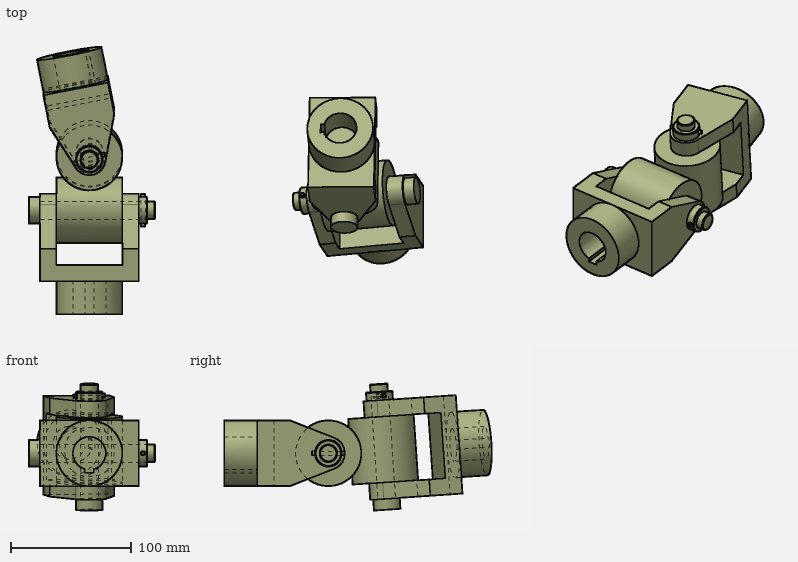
import cadquery as cq
import math


TILT = 3.9
SWING = 11.1
UPPER_PIN_TURN = 17.0

HUB_DIAMETER = 54.8
HUB_LENGTH = HUB_DIAMETER / 2
BORE_DIAMETER = HUB_DIAMETER / 2
BORE_DEPTH = HUB_LENGTH
KEYWAY_WIDTH = 7.5
KEYWAY_REACH = 16.3
WALL = HUB_DIAMETER / 4
FORK_WIDTH = HUB_DIAMETER + 2 * WALL
LUG_RADIUS = HUB_DIAMETER / 4
WEB_DISTANCE = 59.2
SHOULDER_LENGTH = HUB_DIAMETER / 2

BLOCK_DIAMETER = HUB_DIAMETER
BLOCK_LENGTH = HUB_DIAMETER
AXIS_OFFSET = 45.6

PIN_DIAMETER = 14.7
HEAD_DIAMETER = 22.3
HEAD_LENGTH = 9.1
PIN_STICKOUT = 13.5
PIN_CHAMFER = 0.7
COLLAR_DIAMETER = 22.3
COLLAR_LENGTH = 7.1
COLLAR_CHAMFER = 0.7
CROSS_PIN_DIAMETER = 3.5
CROSS_PIN_LENGTH = 27.4
CROSS_PIN_CHAMFER = 0.5

FORK_FACE = FORK_WIDTH / 2
COLLAR_MIDDLE = FORK_FACE + COLLAR_LENGTH / 2


def rod(diameter, start, length):
    """Cylinder on the X axis, running from x = start."""
    return cq.Workplane("YZ").workplane(offset=start).circle(diameter / 2).extrude(length)


def make_fork():
    """Fork with its pin axis on X and its hub towards -Y."""
    half_height = HUB_DIAMETER / 2
    web_y = -WEB_DISTANCE
    shoulder_y = web_y + SHOULDER_LENGTH
    corner_distance = math.hypot(shoulder_y, half_height)
    tangent_angle = math.atan2(half_height, shoulder_y) - math.acos(LUG_RADIUS / corner_distance)
    tangent_y = LUG_RADIUS * math.cos(tangent_angle)
    tangent_z = LUG_RADIUS * math.sin(tangent_angle)
    body = (
        cq.Workplane("YZ")
        .moveTo(web_y, -half_height)
        .lineTo(shoulder_y, -half_height)
        .lineTo(tangent_y, -tangent_z)
        .threePointArc((LUG_RADIUS, 0), (tangent_y, tangent_z))
        .lineTo(shoulder_y, half_height)
        .lineTo(web_y, half_height)
        .close()
        .extrude(FORK_FACE, both=True)
    )
    gap_length = WEB_DISTANCE - WALL + LUG_RADIUS
    gap = (
        cq.Workplane("XY")
        .center(0, LUG_RADIUS - gap_length / 2)
        .rect(BLOCK_LENGTH, gap_length)
        .extrude(HUB_DIAMETER, both=True)
    )
    hub_plane = cq.Workplane("XZ", origin=(0, web_y, 0))
    hub = hub_plane.circle(HUB_DIAMETER / 2).extrude(HUB_LENGTH)
    bore_plane = cq.Workplane("XZ", origin=(0, web_y - HUB_LENGTH, 0))
    bore = bore_plane.circle(BORE_DIAMETER / 2).extrude(-BORE_DEPTH)
    keyway = (
        bore_plane.center(0, -KEYWAY_REACH / 2)
        .rect(KEYWAY_WIDTH, KEYWAY_REACH)
        .extrude(-BORE_DEPTH)
    )
    pin_hole = rod(PIN_DIAMETER, -FORK_FACE, FORK_WIDTH)
    return body.cut(gap).union(hub).cut(bore).cut(keyway).cut(pin_hole)


def make_block():
    """Two crossed barrels, one for each pin, before the block is tilted."""
    first_barrel = rod(BLOCK_DIAMETER, -BLOCK_LENGTH / 2, BLOCK_LENGTH)
    first_hole = rod(PIN_DIAMETER, -BLOCK_LENGTH / 2, BLOCK_LENGTH)
    second_plane = cq.Workplane("XY", origin=(0, AXIS_OFFSET, -BLOCK_LENGTH / 2))
    second_barrel = second_plane.circle(BLOCK_DIAMETER / 2).extrude(BLOCK_LENGTH)
    second_hole = second_plane.circle(PIN_DIAMETER / 2).extrude(BLOCK_LENGTH)
    return first_barrel.union(second_barrel).cut(first_hole).cut(second_hole)


def make_pin():
    """Headed pin on the X axis, with its head at -X and a cross hole at +X."""
    shank_length = FORK_WIDTH + PIN_STICKOUT
    shank = rod(PIN_DIAMETER, -FORK_FACE, shank_length).faces(">X").chamfer(PIN_CHAMFER)
    head = rod(HEAD_DIAMETER, -FORK_FACE - HEAD_LENGTH, HEAD_LENGTH)
    return head.union(shank).cut(make_cross_pin())


def make_collar():
    """Ring on the pin, seated on the outer face of the fork."""
    ring = rod(COLLAR_DIAMETER, FORK_FACE, COLLAR_LENGTH).faces(">X").chamfer(COLLAR_CHAMFER)
    pin_hole = rod(PIN_DIAMETER, FORK_FACE, COLLAR_LENGTH)
    return ring.cut(pin_hole).cut(make_cross_pin())


def make_cross_pin():
    """Small pin along Y that locks the collar to the pin."""
    plane = cq.Workplane("XZ", origin=(COLLAR_MIDDLE, CROSS_PIN_LENGTH / 2, 0))
    bar = plane.circle(CROSS_PIN_DIAMETER / 2).extrude(CROSS_PIN_LENGTH)
    return bar.faces("<Y or >Y").chamfer(CROSS_PIN_CHAMFER)


def tilt(body):
    """Swing a body with the block about the first pin."""
    return body.rotate((0, 0, 0), (1, 0, 0), TILT)


def place_second_fork(fork):
    """Turn a fork to +Y with its pin axis upright, then swing it about that axis."""
    turned = fork.rotate((0, 0, 0), (0, 0, 1), 180).rotate((0, 0, 0), (0, 1, 0), -90)
    swung = turned.rotate((0, 0, 0), (0, 0, 1), SWING)
    return tilt(swung.translate((0, AXIS_OFFSET, 0)))


def place_second_pin(body):
    """Stand a body of the pin group upright, head down, on the second pin axis."""
    upright = body.rotate((0, 0, 0), (0, 1, 0), -90)
    turned = upright.rotate((0, 0, 0), (0, 0, 1), UPPER_PIN_TURN - 90)
    return tilt(turned.translate((0, AXIS_OFFSET, 0)))


forks = [make_fork(), place_second_fork(make_fork())]
block = tilt(make_block())
pin_bodies = []
for make_body in (make_pin, make_collar, make_cross_pin):
    pin_bodies.append(make_body())
    pin_bodies.append(place_second_pin(make_body()))

result = cq.Compound.makeCompound([body.val() for body in [*forks, block, *pin_bodies]])